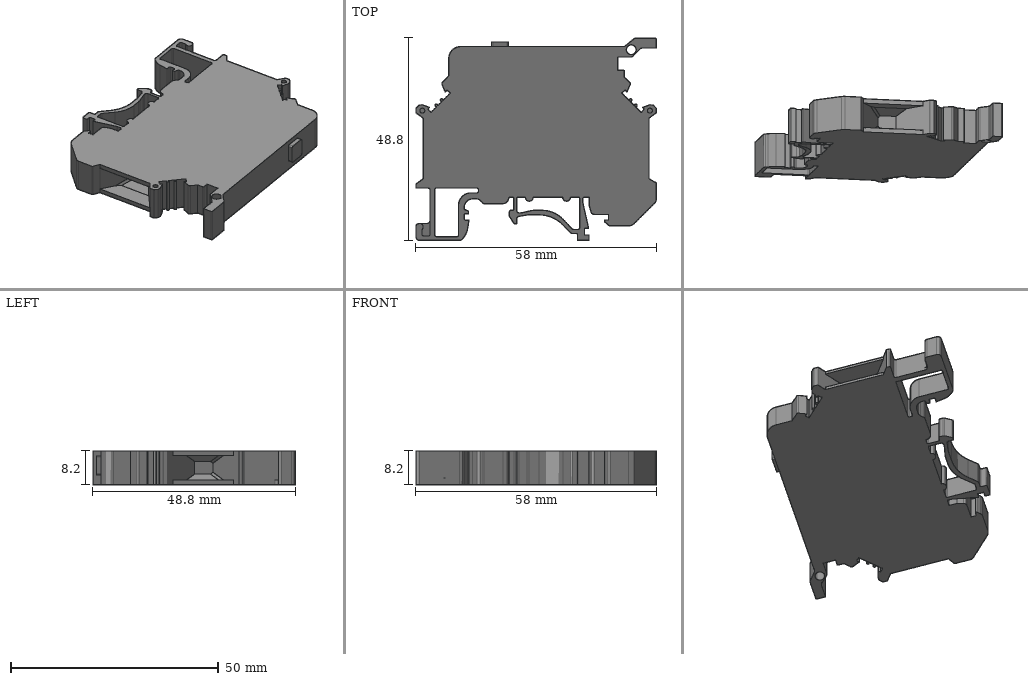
import cadquery as cq
import math

LENGTH = 58.0
HEIGHT = 48.8
THICKNESS = 8.2
MID_X = LENGTH / 2

TOP_Y = 46.8
WALL_INSET = 1.75
RAIL_Y = 10.4
EAVE_Y = 12.6
LEDGE_Y = 13.6
FLANK_Y = 30.8

EYE_Y = 31.3
EYE_INSET = 1.55
DIMPLE_DIAMETER = 1.2
DIMPLE_DEPTH = 1.0

SEAT_LOW = (3.65, 30.9)
SEAT_LENGTH = 6.6
RIDGE_RADIUS = 0.33
RIDGE_DISTANCES = (2.1, 3.9)
RIDGE_RISE = 0.28

FOOT_WALL_X = 3.4
FOOT_WALL = 1.2
FOOT_FLOOR = 0.95
FOOT_RIGHT_X = 10.25
CLAW_X = 11.7
CLAW_ROOF_Y = 10.0
SLOT_END_X = 15.05
SLOT_LOW_Y = 11.5
HOOK_WIDTH = 1.45
HOOK_TOP_Y = 4.1
HOOK_WEB = 1.1
HOOK_WEB_FLARE = 0.8

STRUT_X = 23.6
STRUT = 0.75
CLIP_LEG_LEFT = 39.5
CLIP_LEG_TOP_RIGHT = 40.3
CLIP_TOE_X = 41.8
CEILING_BUMP_RADIUS = 0.95
CEILING_BUMP_XS = (27.35, 36.35)

LEVER_HOLE = (51.95, 46.0)
LEVER_HOLE_DIAMETER = 2.3

TAB_LEFT = 18.2
TAB_RIGHT = 22.3
TAB_RISE = 1.1
TAB_Z_LOW = 2.35
TAB_Z_HIGH = 7.0
TAB_CORNER = 0.35

ENTRY_SKIN = 1.1
ENTRY_DEPTH = 8.6
ENTRY_BACK_Y = (19.9, 24.3)
ENTRY_BACK_Z = (2.55, 5.65)
ENTRY_SLOPE = 0.54
ENTRY_CHAMFER = 0.5

WALL_FRACTION = WALL_INSET / ENTRY_DEPTH
WALL_LOW_Y = LEDGE_Y + (ENTRY_BACK_Y[0] - LEDGE_Y) * WALL_FRACTION
WALL_HIGH_Y = FLANK_Y + (ENTRY_BACK_Y[1] - FLANK_Y) * WALL_FRACTION


def rounded_outline(corners):
    """Closed sketch through (x, y, radius) corners; radius 0 keeps the corner sharp."""
    count = len(corners)
    path = None
    for i, (x, y, radius) in enumerate(corners):
        before = cq.Vector(*corners[i - 1][:2])
        after = cq.Vector(*corners[(i + 1) % count][:2])
        corner = cq.Vector(x, y)
        to_before = (before - corner).normalized()
        to_after = (after - corner).normalized()
        half_angle = to_before.getAngle(to_after) / 2
        setback = radius / math.tan(half_angle)
        start = corner + to_before * setback
        if path is None:
            path = cq.Workplane("XY").moveTo(start.x, start.y)
        else:
            path = path.lineTo(start.x, start.y)
        if radius > 0:
            bisector = (to_before + to_after).normalized()
            middle = corner + bisector * (radius / math.sin(half_angle) - radius)
            end = corner + to_after * setback
            path = path.threePointArc((middle.x, middle.y), (end.x, end.y))
    return path.close()


def plate(corners, thickness=THICKNESS):
    return rounded_outline(corners).extrude(thickness)


def mirrored(corners):
    """The same stretch of outline on the right side, walked the other way."""
    return [(LENGTH - x, y, radius) for x, y, radius in reversed(corners)]


def seat_point(distance, rise=0.0):
    """Point on the left marker seat, measured from its low end and out of its surface."""
    step = math.sqrt(0.5)
    return (SEAT_LOW[0] + (distance - rise) * step, SEAT_LOW[1] + (distance + rise) * step)


def marker_side():
    """Left stretch from the shoulder down over the marker seat and the pivot eye."""
    seat_high = seat_point(SEAT_LENGTH)
    return [
        (6.15, 37.9, 0.5),
        (7.1, 35.75, 0),
        (7.5, 36.25, 0),
        (*seat_high, 0),
        (*SEAT_LOW, 0),
        (2.95, 31.65, 0),
        (3.3, 32.1, 0),
        (1.6, 32.75, 0.8),
        (0.75, 32.65, 0.3),
        (0, 31.9, 0.3),
        (0, FLANK_Y, 0.1),
        (WALL_INSET, WALL_HIGH_Y, 0),
    ]


def foot_side():
    """Ledge, outer foot wall, hook and the claw over the rail edge."""
    return [
        (WALL_INSET, WALL_LOW_Y, 0),
        (0, LEDGE_Y, 0),
        (0, EAVE_Y, 0.3),
        (FOOT_WALL_X, EAVE_Y, 0.4),
        (FOOT_WALL_X, 1.1, 0.3),
        (HOOK_WIDTH, 1.1, 0.4),
        (HOOK_WIDTH, 2.5, 0),
        (1.75, 3.0, 0.3),
        (1.75, HOOK_TOP_Y, 0.8),
        (0, HOOK_TOP_Y, 0.8),
        (0, 0, 0.9),
        (11.0, 0, 1.0),
        (12.3, 1.7, 4.0),
        (12.85, 4.9, 0.05),
        (CLAW_X, 4.9, 0.3),
        (CLAW_X, 6.4, 0.2),
        (12.7, 6.4, 0),
        (12.7, 7.1, 0.1),
        (CLAW_X, 7.5, 0.2),
        (CLAW_X, CLAW_ROOF_Y, 2.0),
        (15.2, CLAW_ROOF_Y, 1.2),
        (16.3, 8.85, 0.4),
    ]


def clip_side():
    """Spring clip: ball-nosed strut, curved spring arm and stepped leg."""
    strut_right = STRUT_X + STRUT
    return [
        (22.0, 8.85, 1.4),
        (22.5, RAIL_Y, 0.1),
        (STRUT_X, RAIL_Y, 0.3),
        (STRUT_X, 7.3, 0.25),
        (22.5, 7.3, 0.5),
        (22.5, 5.9, 0.8),
        (23.7, 4.0, 0.3),
        (strut_right, 4.0, 0.15),
        (strut_right, 5.7, 0.6),
        (27.0, 6.15, 3.0),
        (33.1, 6.15, 8.0),
        (37.5, 1.65, 0.8),
        (38.95, 1.65, 0.2),
        (38.95, 0, 0.2),
        (CLIP_TOE_X, 0, 0.2),
        (CLIP_TOE_X, 1.35, 0.1),
        (40.7, 1.35, 0),
        (40.7, 2.9, 0),
        (41.7, 2.9, 0.1),
        (CLIP_LEG_TOP_RIGHT, 9.1, 0.5),
        (CLIP_LEG_TOP_RIGHT, RAIL_Y, 0.3),
    ]


def right_foot_side():
    return [
        (CLIP_TOE_X, RAIL_Y, 0.1),
        (CLIP_TOE_X, 8.4, 0.5),
        (42.4, 6.25, 0.9),
        (46.45, 6.25, 0),
        (46.45, 4.95, 0),
        (45.55, 4.95, 0.1),
        (45.55, 4.5, 0.1),
        (46.6, 3.5, 1.0),
        (52.1, 3.5, 2.0),
        (LENGTH, 9.4, 1.2),
        (LENGTH, 13.9, 0.3),
        (LENGTH - WALL_INSET, WALL_LOW_Y, 0),
    ]


def lever_side():
    """Shoulder and cranked lever at the upper right corner."""
    lever_low_y = 44.2
    tip_low_y = 46.4
    return [
        (50.3, 39.4, 0),
        (50.3, 41.1, 0.3),
        (48.75, 41.1, 0),
        (48.75, lever_low_y, 0),
        (52.1, lever_low_y, 0.8),
        (54.3, tip_low_y, 0.9),
        (LENGTH, tip_low_y, 0),
        (LENGTH, HEIGHT, 0.3),
        (52.8, HEIGHT, 0.5),
        (50.3, TOP_Y, 0),
    ]


def housing():
    shoulder_x = 7.9
    top_left = [(shoulder_x, TOP_Y, 3.0), (shoulder_x, 39.7, 0)]
    left = top_left + marker_side() + foot_side()
    right = right_foot_side() + mirrored(marker_side()) + lever_side()
    return plate(left + clip_side() + right)


def foot_window():
    left = FOOT_WALL_X + FOOT_WALL
    return plate([
        (left, EAVE_Y, 0.3),
        (left, FOOT_FLOOR, 0.3),
        (FOOT_RIGHT_X, FOOT_FLOOR, 0.3),
        (FOOT_RIGHT_X, SLOT_LOW_Y, 3.1),
        (SLOT_END_X, SLOT_LOW_Y, 0.25),
        (SLOT_END_X, EAVE_Y, 0.3),
    ])


def clip_window():
    left = STRUT_X + STRUT
    return plate([
        (left, RAIL_Y, 0.2),
        (left, 6.6, 0.6),
        (25.6, 6.7, 2.0),
        (28.2, 7.3, 4.0),
        (33.4, 7.3, 7.0),
        (37.8, 2.7, 0.4),
        (CLIP_LEG_LEFT, 2.7, 0.35),
        (CLIP_LEG_LEFT, RAIL_Y, 0.3),
    ])


def post(x, y, radius, height=THICKNESS, base=0.0):
    return cq.Workplane("XY").workplane(offset=base).center(x, y).circle(radius).extrude(height)


def hook_web():
    """Thin web at the underside from the hook to the foot wall, flared where it meets the wall."""
    start = HOOK_WIDTH / 2
    end = FOOT_WALL_X + FOOT_WALL / 2
    base = FOOT_FLOOR / 2
    return plate([
        (start, base, 0),
        (end, base, 0),
        (end, EAVE_Y / 2, 0),
        (FOOT_WALL_X, EAVE_Y / 2, 0),
        (FOOT_WALL_X, HOOK_TOP_Y, HOOK_WEB_FLARE),
        (start, HOOK_TOP_Y, 0),
    ], HOOK_WEB)


def top_tab():
    width = TAB_RIGHT - TAB_LEFT
    tab = cq.Workplane("XY").box(width, TAB_RISE, TAB_Z_HIGH - TAB_Z_LOW, centered=False)
    tab = tab.edges("|Y").fillet(TAB_CORNER)
    return tab.translate((TAB_LEFT, TOP_Y, TAB_Z_LOW))


def entry_section(y_low, y_high, z_low, z_high, x):
    """Entry cross-section at depth x, with its two lower-Y corners chamfered."""
    c = ENTRY_CHAMFER
    points = [
        (y_low + c, z_low),
        (y_high, z_low),
        (y_high, z_high),
        (y_low + c, z_high),
        (y_low, z_high - c),
        (y_low, z_low + c),
    ]
    return cq.Wire.makePolygon([cq.Vector(x, y, z) for y, z in points], close=True)


def wire_entry():
    """Left funnel: tapers in both directions, clipped flat by the two side skins."""
    spread = ENTRY_SLOPE * (ENTRY_DEPTH - WALL_INSET)
    mouth_z = (ENTRY_BACK_Z[0] - spread, ENTRY_BACK_Z[1] + spread)
    mouth = entry_section(WALL_LOW_Y, WALL_HIGH_Y, *mouth_z, WALL_INSET)
    back = entry_section(*ENTRY_BACK_Y, *ENTRY_BACK_Z, ENTRY_DEPTH)
    funnel = cq.Workplane(cq.Solid.makeLoft([mouth, back], True))
    gap = cq.Workplane("XY").box(LENGTH, HEIGHT, THICKNESS - 2 * ENTRY_SKIN, centered=False)
    return funnel.intersect(gap.translate((0, 0, ENTRY_SKIN)))


def mirror_x(shape):
    return shape.mirror("YZ", (MID_X, 0, 0))


result = housing().cut(foot_window()).cut(clip_window())
for bump_x in CEILING_BUMP_XS:
    result = result.union(post(bump_x, RAIL_Y, CEILING_BUMP_RADIUS))
for ridge_distance in RIDGE_DISTANCES:
    ridge = post(*seat_point(ridge_distance, RIDGE_RISE), RIDGE_RADIUS)
    result = result.union(ridge).union(mirror_x(ridge))
result = result.union(hook_web()).union(top_tab())
result = result.cut(post(*LEVER_HOLE, LEVER_HOLE_DIAMETER / 2))

dimple = post(EYE_INSET, EYE_Y, DIMPLE_DIAMETER / 2, DIMPLE_DEPTH, THICKNESS - DIMPLE_DEPTH)
for left_cut in (wire_entry(), dimple):
    result = result.cut(left_cut).cut(mirror_x(left_cut))